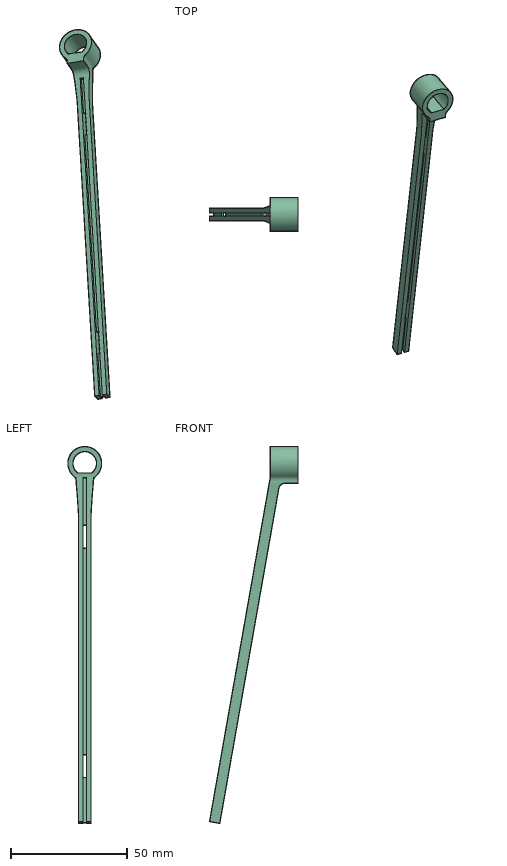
import cadquery as cq
import math

total_x = 38.1
total_z = 162.0

ring_radius = 7.3
ring_length = 12.0
bore_radius = 5.0
bore_flat_drop = 4.0
ring_axis_z = -ring_radius
ring_start_x = total_x - ring_length

foot_half_width = 3.7
foot_bottom_z = -15.9
blend_radius = 2.6

lean = math.radians(10)
arm_thickness = 4.5
arm_half_width = 2.8
neck_end_z = -29.0
neck_mid_z = -21.4
neck_mid_half_width = 3.2

groove_width = 1.5
groove_depth = 1.8
end_clearance = 0.2
window_length = 9.9
window_tops_z = (-33.5, -132.1)


def slanted_bar(top_z, bottom_z, near, far):
    """Arm profile between two heights on its outer face and two depths below that face."""
    def point(z, depth):
        face_x = (z + total_z - arm_thickness * math.sin(lean)) * math.tan(lean)
        return (face_x + depth * math.cos(lean), z - depth * math.sin(lean))

    return cq.Workplane("XZ").polyline(
        [point(top_z, near), point(top_z, far), point(bottom_z, far), point(bottom_z, near)]
    ).close()


def both_sides(profile, width):
    return profile.extrude(width / 2, both=True)


def make_foot():
    foot_height = ring_axis_z - foot_bottom_z
    return cq.Workplane("XY", origin=(ring_start_x, 0, foot_bottom_z)).box(
        ring_length, 2 * foot_half_width, foot_height, centered=(False, True, False)
    )


def make_ring():
    """Ring and foot, with the corners between them rounded."""
    ring = cq.Workplane("YZ", origin=(ring_start_x, 0, ring_axis_z)).circle(ring_radius).extrude(ring_length)
    body = ring.union(make_foot())
    corner_z = ring_axis_z - math.sqrt(ring_radius**2 - foot_half_width**2)
    for side in (-1, 1):
        corner = (ring_start_x + ring_length / 2, side * foot_half_width, corner_z)
        body = body.edges(cq.NearestToPointSelector(corner)).fillet(blend_radius)
    return body


def make_arm():
    """Constant bar, widened by a curved neck where it reaches the foot."""
    outer_bottom_z = -total_z + arm_thickness * math.sin(lean)
    wide_bar = both_sides(slanted_bar(ring_axis_z, outer_bottom_z, 0, arm_thickness), 2 * foot_half_width)
    back_x = (foot_bottom_z - outer_bottom_z) * math.tan(lean) + arm_thickness / math.cos(lean)
    corner = (back_x, 0, foot_bottom_z)
    web = wide_bar.union(make_foot()).edges(cq.NearestToPointSelector(corner)).fillet(blend_radius)
    outline = (
        cq.Workplane("YZ")
        .moveTo(-arm_half_width, -total_z)
        .lineTo(arm_half_width, -total_z)
        .lineTo(arm_half_width, neck_end_z)
        .threePointArc((neck_mid_half_width, neck_mid_z), (foot_half_width, foot_bottom_z))
        .lineTo(foot_half_width, ring_axis_z)
        .lineTo(-foot_half_width, ring_axis_z)
        .lineTo(-foot_half_width, foot_bottom_z)
        .threePointArc((-neck_mid_half_width, neck_mid_z), (-arm_half_width, neck_end_z))
        .close()
        .extrude(total_x)
    )
    return web.intersect(outline)


def make_bore():
    bore = cq.Workplane("YZ", origin=(ring_start_x, 0, ring_axis_z)).circle(bore_radius).extrude(ring_length)
    keep = cq.Workplane("XY", origin=(ring_start_x, 0, ring_axis_z - bore_flat_drop)).box(
        ring_length, 2 * bore_radius, bore_flat_drop + bore_radius, centered=(False, True, False)
    )
    return bore.intersect(keep)


body = make_ring().union(make_arm()).clean()
body = body.cut(make_bore())

groove_top_z = ring_start_x / math.tan(lean) - total_z + arm_thickness * math.sin(lean)
body = body.cut(both_sides(slanted_bar(groove_top_z, -total_z, -end_clearance, groove_depth), groove_width))
back_groove = slanted_bar(
    foot_bottom_z - blend_radius, -total_z, arm_thickness - groove_depth, arm_thickness + end_clearance
)
body = body.cut(both_sides(back_groove, groove_width))
for top_z in window_tops_z:
    window = slanted_bar(top_z, top_z - window_length, 0, arm_thickness)
    body = body.cut(both_sides(window, groove_width))

result = body